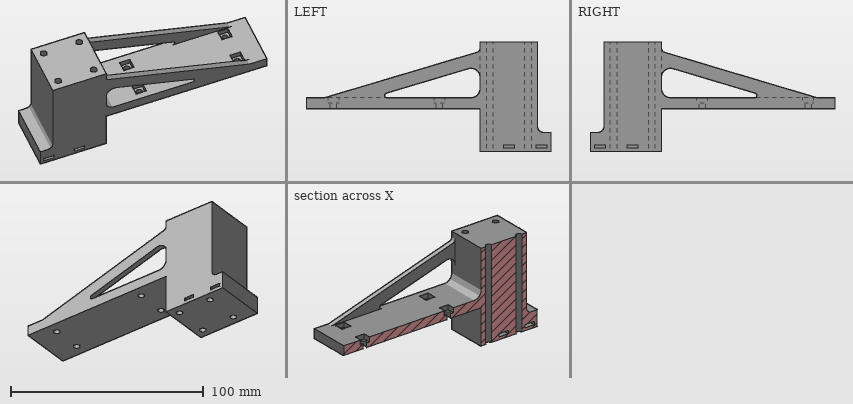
import cadquery as cq
import math

width = 30.0
length = 127.0
height = 57.0

foot_projection = 7.0
foot_height = 10.0
foot_fillet = 3.0
column_depth = 30.0
column_back = foot_projection + column_depth

arm_bottom = 22.2
arm_top = 28.1

rib_thickness = 3.0
rib_setback = 9.5
rib_drop = 5.0
rib_start_fillet = 5.0
rib_end_fillet = 2.0
brace_width = 7.0
window_fillet = 4.6
window_tip_fillet = 1.1

hole_diameter = 3.4
column_hole_spacing = 20.0
arm_hole_spacing_x = 17.0
arm_hole_spacing_y = 55.0
arm_hole_end_distance = 14.0

nut_width = 5.7
nut_pocket_depth = 2.9
slot_bottom = 1.9
slot_height = 1.7
slot_first_y = 5.0
slot_spacing = 17.0
slot_depth = (width - arm_hole_spacing_x + nut_width) / 2

rib_start = (length - rib_setback, arm_top)
rib_end = (column_back, height - rib_drop)
arm_corner = (column_back, arm_top)
foot_corner = (foot_projection, foot_height)
inside = width / 2 - rib_thickness
rib_angle = math.atan2(rib_end[1] - rib_start[1], rib_start[0] - rib_end[0])


def extrude_across(points, x_min, x_max):
    """Extrude a closed (Y, Z) outline along X."""
    outline = cq.Workplane("YZ", origin=(x_min, 0, 0)).polyline(points).close()
    return outline.extrude(x_max - x_min)


def fillet_at(body, corner, radius):
    """Round the edges parallel to X that pass through one (Y, Z) corner."""
    reach = 0.1
    y, z = corner
    box = cq.selectors.BoxSelector((-width, y - reach, z - reach), (width, y + reach, z + reach))
    return body.edges("|X").edges(box).fillet(radius)


def make_slab(ridge, x_min, x_max):
    """Foot, column and arm between two X positions; ridge lists the points from arm top to column."""
    outline = [
        (0, 0),
        (column_back, 0),
        (column_back, arm_bottom),
        (length, arm_bottom),
        (length, arm_top),
        *ridge,
        (column_back, height),
        (foot_projection, height),
        foot_corner,
        (0, foot_height),
    ]
    slab = extrude_across(outline, x_min, x_max)
    return fillet_at(slab, foot_corner, foot_fillet)


def make_middle():
    """Slab between the ribs, where the arm top meets the column in a fillet."""
    middle = make_slab([arm_corner], -inside, inside)
    return fillet_at(middle, arm_corner, window_fillet)


def make_side():
    """Outer slab on the +X side, with the sloping rib and its triangular window."""
    side = make_slab([rib_start, rib_end], inside, width / 2)
    side = fillet_at(side, rib_start, rib_start_fillet)
    side = fillet_at(side, rib_end, rib_end_fillet)

    tip = (rib_start[0] - brace_width / math.sin(rib_angle), arm_top)
    upper = (column_back, rib_end[1] - brace_width / math.cos(rib_angle))
    window = extrude_across([tip, upper, arm_corner], inside, width / 2)
    window = fillet_at(window, tip, window_tip_fillet)
    window = fillet_at(window, upper, window_fillet)
    window = fillet_at(window, arm_corner, window_fillet)
    return side.cut(window)


def hole_pattern(center_y, spacing_x, spacing_y, z):
    """Workplane carrying a two-by-two pattern of points at height z."""
    return cq.Workplane("XY", origin=(0, center_y, z)).rarray(spacing_x, spacing_y, 2, 2)


def make_column_holes():
    center_y = foot_projection + column_depth / 2
    pattern = hole_pattern(center_y, column_hole_spacing, column_hole_spacing, 0)
    return pattern.circle(hole_diameter / 2).extrude(height)


def make_arm_holes():
    """Through holes with square nut pockets sunk into the arm's upper face."""
    center_y = length - arm_hole_end_distance - arm_hole_spacing_y / 2
    spacing = (arm_hole_spacing_x, arm_hole_spacing_y)
    holes = hole_pattern(center_y, *spacing, arm_bottom)
    holes = holes.circle(hole_diameter / 2).extrude(arm_top - arm_bottom)
    pockets = hole_pattern(center_y, *spacing, arm_top - nut_pocket_depth)
    pockets = pockets.rect(nut_width, nut_width).extrude(nut_pocket_depth)
    return holes.union(pockets)


def cut_nut_slots(body):
    """Blind slots entering the foot from both sides."""
    for side in (-1, 1):
        for y in (slot_first_y, slot_first_y + slot_spacing):
            slot = cq.Workplane("XY").box(slot_depth, nut_width, slot_height)
            slot_x = side * (width - slot_depth) / 2
            body = body.cut(slot.translate((slot_x, y, slot_bottom + slot_height / 2)))
    return body


side = make_side()
result = make_middle().union(side).union(side.mirror("YZ"))
result = result.cut(make_column_holes()).cut(make_arm_holes())
result = cut_nut_slots(result)